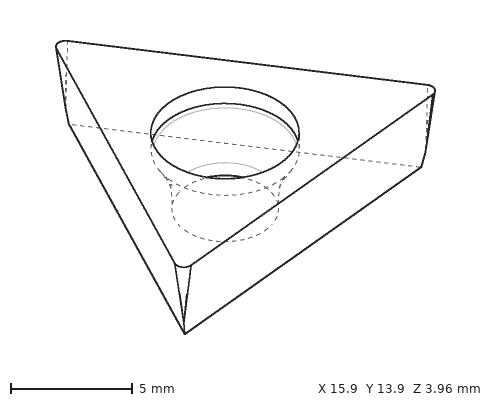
import cadquery as cq
import math

width = 15.92
thickness = 3.96
corner_radius = 0.4
relief_angle = 7.0

head_diameter = 6.11
head_depth = 0.86
seat_diameter = 5.95
seat_depth = 1.02
bore_diameter = 4.4
bore_depth = 3.28

corner_distance = (width - 2 * corner_radius) / math.sqrt(3)


def insert_body():
    """Rounded triangle that narrows downwards; the corner cones run out into sharp edges."""
    return (
        cq.Workplane("XY")
        .polygon(3, 2 * corner_distance)
        .offset2D(corner_radius, "arc")
        .extrude(-thickness, taper=relief_angle)
        .rotate((0, 0, 0), (0, 0, 1), 90)
    )


def screw_hole():
    """Head recess, short conical step, and a curved seat that runs tangent into the bore."""
    head_radius = head_diameter / 2
    seat_radius = seat_diameter / 2
    bore_radius = bore_diameter / 2
    seat_run = seat_radius - bore_radius
    seat_drop = bore_depth - seat_depth
    arc_radius = (seat_run**2 + seat_drop**2) / (2 * seat_run)
    half_sweep = math.atan(seat_run / seat_drop)
    arc_middle = (
        bore_radius + arc_radius * (1 - math.cos(half_sweep)),
        -bore_depth + arc_radius * math.sin(half_sweep),
    )
    return (
        cq.Workplane("XZ")
        .lineTo(head_radius, 0)
        .lineTo(head_radius, -head_depth)
        .lineTo(seat_radius, -seat_depth)
        .threePointArc(arc_middle, (bore_radius, -bore_depth))
        .lineTo(bore_radius, -thickness)
        .lineTo(0, -thickness)
        .close()
        .revolve(360, (0, 0), (0, 1))
    )


result = insert_body().cut(screw_hole())